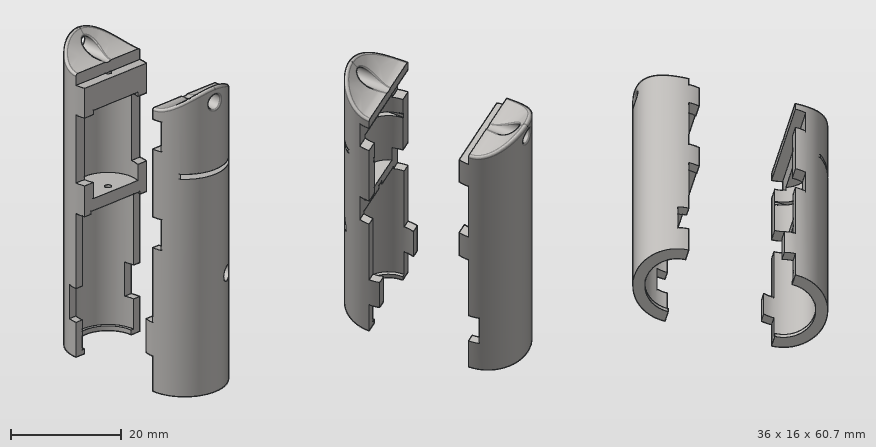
import cadquery as cq
CASING_RADIUS = 8.0
AXIS_SPACING = 19.95
MARGIN = 3.05

SADDLE_LOW_Z = 56.5
SADDLE_RISE = 5.1
RIM_FILLET = 0.5

LIP_RADIUS = 5.8
LIP_HEIGHT = 1.0
LOWER_CAVITY_RADIUS = 6.45
LOWER_CAVITY_TOP_Z = 29.2

UPPER_CAVITY_RADIUS = 5.9
UPPER_CAVITY_BOTTOM_Z = 31.55
UPPER_CAVITY_TOP_Z = 49.15

WIRE_HOLE_DIAMETER = 1.3
LANYARD_HOLE_DIAMETER = 3.0
LANYARD_HOLE_Z = 57.75
LANYARD_HOLE_FILLET = 0.25
PORT_DIAMETER = 3.0
PORT_Y = 4.0
PORT_Z = 22.0

SLOT_WIDTH = 12.15
SLOT_BOTTOM_Z = 43.4
SLOT_HEIGHT = 1.0

CHANNEL_WIDTH = 1.3
CHANNEL_CENTER_Y = -0.7
CHANNEL_DEPTH = 0.6
CHANNEL_TOP_Z = 30.05

TONGUE_DEPTH = 2.0
LEFT_TONGUES_Z = [(28.65, 34.75), (48.3, 54.25)]
RIGHT_TONGUES_Z = [(7.0, 13.7)]

CAP_BOTTOM_Z = LEFT_TONGUES_Z[-1][1]
CASING_TOP_Z = SADDLE_LOW_Z + SADDLE_RISE
REACH = CASING_RADIUS + MARGIN


def block(x_range, z_range):
    """Box spanning the whole casing in Y."""
    x_min, x_max = x_range
    z_min, z_max = z_range
    box = cq.Workplane("XY").box(x_max - x_min, 2 * REACH, z_max - z_min, centered=(False, True, False))
    return box.translate((x_min, 0, z_min))


def cylinder_z(radius, z_min, z_max):
    """Cylinder on the casing axis."""
    return cq.Workplane("XY").workplane(offset=z_min).circle(radius).extrude(z_max - z_min)


def cylinder_x(diameter, y, z, x_min, x_max):
    """Cylinder along X."""
    return cq.Workplane("YZ").workplane(offset=x_min).center(y, z).circle(diameter / 2).extrude(x_max - x_min)


def make_cap():
    """+X half of the top, with the saddle, its rounded rim and the rounded lanyard hole."""
    reach_rise = SADDLE_RISE * (REACH / CASING_RADIUS) ** 2
    parabola_poles = [
        (-REACH, SADDLE_LOW_Z + reach_rise),
        (0, SADDLE_LOW_Z - reach_rise),
        (REACH, SADDLE_LOW_Z + reach_rise),
    ]
    saddle = cq.Workplane("XZ").moveTo(*parabola_poles[0]).bezier(parabola_poles).close().extrude(REACH, both=True)

    cap = cylinder_z(CASING_RADIUS, CAP_BOTTOM_Z, CASING_TOP_Z).cut(saddle)
    cap = cap.intersect(block((0, REACH), (CAP_BOTTOM_Z, CASING_TOP_Z)))
    clear_of_split = 0.6
    rim_box = cq.selectors.BoxSelector((clear_of_split, -REACH, SADDLE_LOW_Z), (REACH, REACH, CASING_TOP_Z))
    cap = cap.edges(rim_box).fillet(RIM_FILLET)

    cap = cap.cut(cylinder_x(LANYARD_HOLE_DIAMETER, 0, LANYARD_HOLE_Z, 0, REACH))
    hole_radius = LANYARD_HOLE_DIAMETER / 2
    hole_box = cq.selectors.BoxSelector(
        (clear_of_split, -hole_radius, LANYARD_HOLE_Z - hole_radius),
        (REACH, hole_radius, LANYARD_HOLE_Z + hole_radius),
    )
    hole_edges = cap.edges(hole_box).edges("not |X")
    return hole_edges.fillet(LANYARD_HOLE_FILLET)


def make_barrel():
    """Whole tube below the cap, with both cavities and the wire hole."""
    barrel = cylinder_z(CASING_RADIUS, 0, CAP_BOTTOM_Z)
    barrel = barrel.cut(cylinder_z(LIP_RADIUS, 0, LIP_HEIGHT))
    barrel = barrel.cut(cylinder_z(LOWER_CAVITY_RADIUS, LIP_HEIGHT, LOWER_CAVITY_TOP_Z))
    barrel = barrel.cut(cylinder_z(UPPER_CAVITY_RADIUS, UPPER_CAVITY_BOTTOM_Z, UPPER_CAVITY_TOP_Z))
    return barrel.cut(cylinder_z(WIRE_HOLE_DIAMETER / 2, 0, CAP_BOTTOM_Z))


def make_left_region():
    """Space below the cap on the -X side of the stepped parting line."""
    region = block((-REACH, 0), (0, CAP_BOTTOM_Z))
    for z_range in LEFT_TONGUES_Z:
        region = region.union(block((-MARGIN, TONGUE_DEPTH), z_range))
    for z_range in RIGHT_TONGUES_Z:
        region = region.cut(block((-TONGUE_DEPTH, MARGIN), z_range))
    return region


def make_right_region():
    """Space below the cap on the +X side of the stepped parting line."""
    region = block((0, REACH), (0, CAP_BOTTOM_Z))
    for z_range in RIGHT_TONGUES_Z:
        region = region.union(block((-TONGUE_DEPTH, MARGIN), z_range))
    for z_range in LEFT_TONGUES_Z:
        region = region.cut(block((-MARGIN, TONGUE_DEPTH), z_range))
    return region


def make_wire_channel():
    """Straight-sided cutter from the axis to the back of the channel, above the lip."""
    length = LOWER_CAVITY_RADIUS + CHANNEL_DEPTH
    height = CHANNEL_TOP_Z - LIP_HEIGHT
    channel = cq.Workplane("XY").box(length, CHANNEL_WIDTH, height, centered=(False, True, False))
    return channel.translate((0, CHANNEL_CENTER_Y, LIP_HEIGHT))


def make_left_shell(barrel, cap):
    shell = barrel.intersect(make_left_region()).union(cap.mirror("YZ"))
    return shell.translate((-AXIS_SPACING / 2, 0, 0))


def make_right_shell(barrel, cap):
    shell = barrel.intersect(make_right_region()).union(cap)
    slot = cq.Workplane("XY").box(REACH, SLOT_WIDTH, SLOT_HEIGHT, centered=(False, True, False))
    shell = shell.cut(slot.translate((0, 0, SLOT_BOTTOM_Z)))
    shell = shell.cut(cylinder_x(PORT_DIAMETER, PORT_Y, PORT_Z, 0, REACH))
    shell = shell.cut(make_wire_channel())
    return shell.translate((AXIS_SPACING / 2, 0, 0))


barrel = make_barrel()
cap = make_cap()
left_shell = make_left_shell(barrel, cap)
right_shell = make_right_shell(barrel, cap)
result = cq.Compound.makeCompound([*left_shell.solids().vals(), *right_shell.solids().vals()])